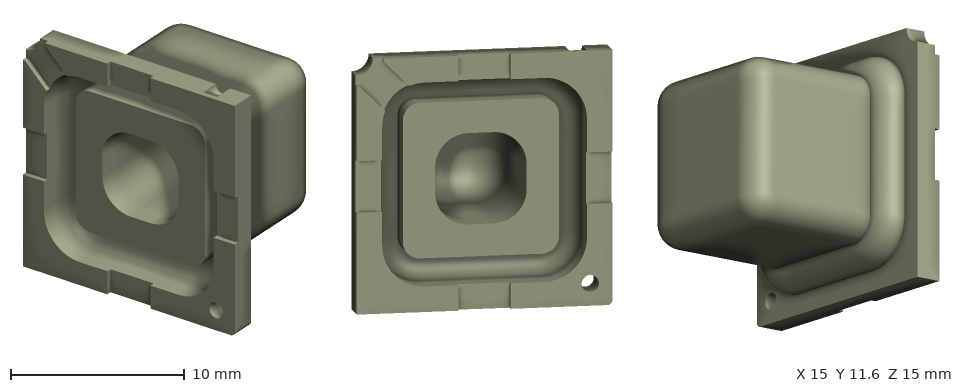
import cadquery as cq
import math

plate_side = 15.0
plate_thickness = 1.6
plate_corner_radius = 0.3
half_plate = plate_side / 2

wall = 0.3
collar_side = 12.6
collar_corner_radius = 2.8
collar_edge_radius = 1.4
collar_back = 3.1

cap_side = 10.0
cap_radius = 1.5
cap_back = 11.6

core_side = 9.15
core_corner_radius = 1.0
core_front = 1.15
opening_side = 5.37
opening_radius = 1.95
opening_back = cap_back - (cap_side - opening_side) / 2

relief_depth = 0.32
side_relief_width = 3.05
corner_relief_width = 2.0
corner_relief_lead_radius = 0.36

corner_notch_radius = 1.0
groove_diameter = 1.0
groove_x = 5.52
hole_diameter = 1.0
hole_x = 6.2
hole_z = -6.2


def slab(side, corner_radius, y_front, y_back):
    """Square block with rounded corners between two planes of constant y."""
    block = cq.Workplane("XY").box(side, y_back - y_front, side)
    block = block.edges("|Y").fillet(corner_radius)
    return block.translate((0, (y_front + y_back) / 2, 0))


def rod(diameter, x, z, y_front, y_back):
    """Round bar along Y."""
    origin = cq.Workplane("XZ", origin=(x, y_front, z))
    return origin.circle(diameter / 2).extrude(-(y_back - y_front))


def make_plate():
    plate = cq.Workplane("XY").box(plate_side, plate_thickness, plate_side)
    plate = plate.translate((0, plate_thickness / 2, 0))
    return plate.edges("|Y and >X and <Z").fillet(plate_corner_radius)


def make_collar():
    collar = slab(collar_side, collar_corner_radius, 0, collar_back)
    return collar.faces(">Y").edges().fillet(collar_edge_radius)


def make_collar_cavity():
    """Inside of the collar, one wall thickness smaller all round."""
    cavity = slab(collar_side - 2 * wall, collar_corner_radius - wall, 0, collar_back - wall)
    return cavity.faces(">Y").edges().fillet(collar_edge_radius - wall)


def make_cap():
    cap = slab(cap_side, cap_radius, collar_back - wall, cap_back)
    return cap.faces(">Y").edges().fillet(cap_radius)


def make_opening():
    """Blind opening, rounded at the end on its bottom and sides but square at its top."""
    profile = slab(opening_side, opening_radius, core_front, opening_back)
    length = opening_back - core_front
    height = 2 * opening_side
    pocket = cq.Workplane("XY").box(opening_side, length, height)
    pocket = pocket.translate((0, core_front + length / 2, (height - opening_side) / 2))
    pocket = pocket.edges("|Y").fillet(opening_radius)
    pocket = pocket.faces(">Y").edges().fillet(opening_radius)
    return profile.intersect(pocket)


def make_side_reliefs():
    """Two crossing channels that relieve the middle of all four sides of the rim."""
    across = cq.Workplane("XY").box(plate_side, relief_depth, side_relief_width)
    upright = cq.Workplane("XY").box(side_relief_width, relief_depth, plate_side)
    return across.union(upright).translate((0, relief_depth / 2, 0))


def make_corner_relief():
    """Diagonal channel from the notched corner, turning square to the plate edges at its mouth."""
    turn = math.radians(45)
    lead = corner_relief_lead_radius
    lead_drop = lead * math.sin(turn)
    lead_shift = lead * (1 - math.cos(turn))
    mid_drop = lead * math.sin(turn / 2)
    mid_shift = lead * (1 - math.cos(turn / 2))
    wall_offset = corner_relief_width / math.sqrt(2)
    mouth = wall_offset + lead_drop - lead_shift
    reach = collar_corner_radius

    start = (mouth, 0)
    middle = (mouth + mid_shift, mid_drop)
    tangent = (mouth + lead_shift, lead_drop)
    inner = (wall_offset + reach, reach)

    def place(point):
        return (-half_plate + point[0], half_plate - point[1])

    def mirrored(point):
        return place((point[1], point[0]))

    outline = (
        cq.Workplane("XZ")
        .moveTo(*place((0, 0)))
        .lineTo(*place(start))
        .threePointArc(place(middle), place(tangent))
        .lineTo(*place(inner))
        .lineTo(*mirrored(inner))
        .lineTo(*mirrored(tangent))
        .threePointArc(mirrored(middle), mirrored(start))
        .close()
    )
    return outline.extrude(-relief_depth)


plate_features = (
    make_side_reliefs(),
    make_corner_relief(),
    rod(2 * corner_notch_radius, -half_plate, half_plate, 0, plate_thickness),
    rod(groove_diameter, groove_x, half_plate, relief_depth, plate_thickness),
    rod(hole_diameter, hole_x, hole_z, 0, plate_thickness),
)

rim = make_plate().union(make_collar()).cut(make_collar_cavity())
for feature in plate_features:
    rim = rim.cut(feature)

core = slab(core_side, core_corner_radius, core_front, collar_back)
result = rim.union(make_cap()).union(core).cut(make_opening())